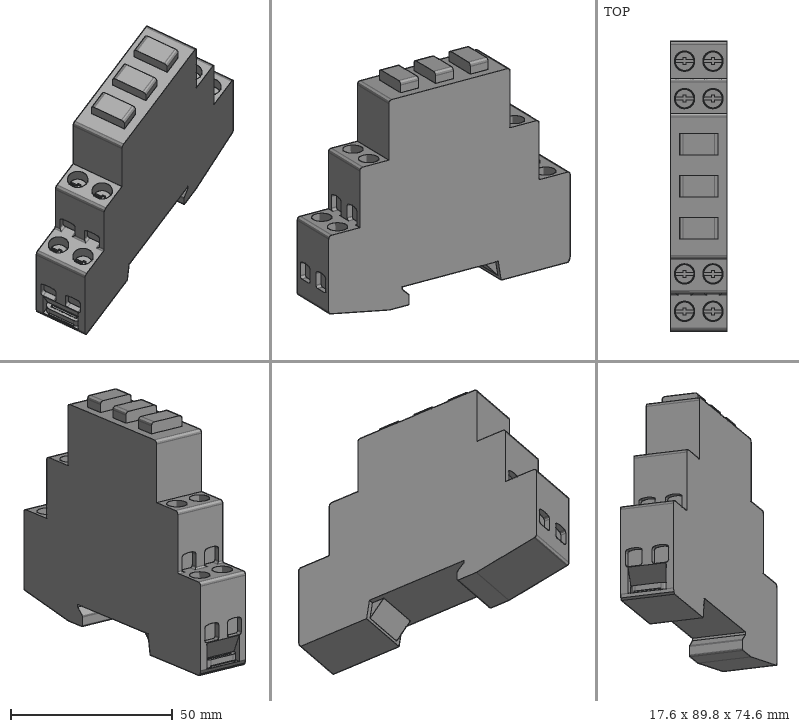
import cadquery as cq

WIDTH = 17.6
BASE_HALF = 44.9
MIDDLE_HALF = 33.3
CROWN_HALF = 22.5
BASE_TOP = 30.5
MIDDLE_TOP = 50.7
CROWN_TOP = 70.9
TIER_FILLET = 1.1
STEP_FILLET = 0.5

SLOPE_START_Y = 22.3
SLOPE_RISE = 4.1
SLOPE_FILLET = 0.9
RAIL_TOP = 6.65
HOOK_ROOT_Y = 17.5
HOOK_TIP_Y = 15.0
HOOK_UPPER_Z = 5.8
HOOK_LOWER_Z = 3.4
HOOK_FILLET = 0.45
RAIL_FRONT_TOP_Y = -18.1
RAIL_FRONT_BOTTOM_Y = -19.2
TOE_HEIGHT = 1.8
TOE_KNEE_Z = 0.67
TOE_KNEE_INSET = 0.3
TOE_INSET = 0.8

NOSE_WIDTH = 14.4
NOSE_TIP_Y = -13.8
NOSE_FOOT_Y = -19.0
NOSE_FOOT_Z = 1.1
NOSE_ROOT_Y = -21.55
NOSE_ROOT_Z = 7.5

BUTTON_LENGTH = 11.9
BUTTON_WIDTH = 6.65
BUTTON_HEIGHT = 3.7
BUTTON_PITCH = 12.9

TERMINAL_HALF_PITCH = 4.4
BASE_SCREW_Y = 38.7
MIDDLE_SCREW_Y = 27.1
WELL_DIAMETER = 6.3
WELL_DEPTH = 4.5
SCREW_DIAMETER = 5.75
SCREW_DEPTH = 3.6
SLOT_WIDTH = 0.9
CROSS_LENGTH = 2.2
CROSS_WIDTH = 1.0
DRIVE_DEPTH = 0.7
OPENING_WIDTH = 5.4
OPENING_DEPTH = 1.9
OPENING_HEIGHT = 5.9
OPENING_SHOULDER = 0.5
OPENING_TOP_FILLET = 0.9
OPENING_BOTTOM_FILLET = 0.8
BASE_OPENING_Z = 10.5

POCKET_WIDTH = 12.6
POCKET_TOP = 10.3
POCKET_DEPTH = 2.7
SLIDER_TOP = 4.3
SLIDER_INSET = 0.6
SLIDER_FILLET = 2.0
LIP_TOP = 2.3
LIP_INSET = 0.1
LIP_WIDTH = 8.8
TOOL_SLOT_WIDTH = 9.0
TOOL_SLOT_LENGTH = 0.9
TOOL_SLOT_DEPTH = 0.45


def side_plate(points, width):
    """Extrude an outline of (Y, Z) points along X, centred on X = 0."""
    return cq.Workplane("YZ").polyline(points).close().extrude(width / 2, both=True)


def block(width, y_range, z_range):
    """Box centred on X = 0, given by its width and its Y and Z limits."""
    y_low, y_high = y_range
    z_low, z_high = z_range
    return (
        cq.Workplane("XY", origin=(0, (y_low + y_high) / 2, z_low))
        .box(width, y_high - y_low, z_high - z_low, centered=(True, True, False))
    )


def fillet_cross_edge(body, y, z, radius):
    """Round the edge running along X at the given Y and Z."""
    return body.edges(cq.NearestToPointSelector((0, y, z))).fillet(radius)


def make_housing():
    outline = [
        (-BASE_HALF, BASE_TOP),
        (-MIDDLE_HALF, BASE_TOP),
        (-MIDDLE_HALF, MIDDLE_TOP),
        (-CROWN_HALF, MIDDLE_TOP),
        (-CROWN_HALF, CROWN_TOP),
        (CROWN_HALF, CROWN_TOP),
        (CROWN_HALF, MIDDLE_TOP),
        (MIDDLE_HALF, MIDDLE_TOP),
        (MIDDLE_HALF, BASE_TOP),
        (BASE_HALF, BASE_TOP),
        (BASE_HALF, SLOPE_RISE),
        (SLOPE_START_Y, 0),
        (HOOK_TIP_Y, 0),
        (HOOK_TIP_Y, HOOK_LOWER_Z),
        (HOOK_ROOT_Y, HOOK_UPPER_Z),
        (HOOK_ROOT_Y, RAIL_TOP),
        (RAIL_FRONT_TOP_Y, RAIL_TOP),
        (RAIL_FRONT_BOTTOM_Y, 0),
        (-BASE_HALF + TOE_INSET, 0),
        (-BASE_HALF + TOE_KNEE_INSET, TOE_KNEE_Z),
        (-BASE_HALF, TOE_HEIGHT),
    ]
    body = side_plate(outline, WIDTH)
    tiers = [(BASE_HALF, BASE_TOP), (MIDDLE_HALF, MIDDLE_TOP), (CROWN_HALF, CROWN_TOP)]
    for half_length, top in tiers:
        for side in (-1, 1):
            body = fillet_cross_edge(body, side * half_length, top, TIER_FILLET)
    body = fillet_cross_edge(body, -MIDDLE_HALF, BASE_TOP, STEP_FILLET)
    body = fillet_cross_edge(body, BASE_HALF, SLOPE_RISE, SLOPE_FILLET)
    for z in (0, HOOK_LOWER_Z):
        body = fillet_cross_edge(body, HOOK_TIP_Y, z, HOOK_FILLET)
    return body


def make_latch_nose():
    outline = [
        (NOSE_TIP_Y, RAIL_TOP),
        (NOSE_FOOT_Y, NOSE_FOOT_Z),
        (NOSE_ROOT_Y, NOSE_FOOT_Z),
        (NOSE_ROOT_Y, NOSE_ROOT_Z),
        (NOSE_TIP_Y, NOSE_ROOT_Z),
    ]
    return side_plate(outline, NOSE_WIDTH)


def make_button(y):
    y_range = (y - BUTTON_WIDTH / 2, y + BUTTON_WIDTH / 2)
    button = block(BUTTON_LENGTH, y_range, (CROWN_TOP, CROWN_TOP + BUTTON_HEIGHT))
    return button.faces(">Z").edges("|Y").fillet(TIER_FILLET)


def make_screw_well(x, y, top):
    """Empty space around and above one slotted screw head."""
    well = (
        cq.Workplane("XY", origin=(x, y, top - WELL_DEPTH))
        .circle(WELL_DIAMETER / 2)
        .extrude(WELL_DEPTH)
    )
    head = (
        cq.Workplane("XY", origin=(x, y, top - WELL_DEPTH))
        .circle(SCREW_DIAMETER / 2)
        .extrude(WELL_DEPTH - SCREW_DEPTH)
    )
    drive = cq.Workplane("XY", origin=(x, y, top - SCREW_DEPTH))
    slot = drive.rect(SCREW_DIAMETER, SLOT_WIDTH).extrude(-DRIVE_DEPTH)
    cross = drive.rect(CROSS_WIDTH, CROSS_LENGTH).extrude(-DRIVE_DEPTH)
    return well.cut(head.cut(slot).cut(cross))


def make_cable_opening(x, bottom, face, side):
    """Domed opening in the end face at Y = side * face, reaching out past the step fillet."""
    half = OPENING_WIDTH / 2
    shoulder = OPENING_HEIGHT - OPENING_SHOULDER
    opening = (
        cq.Workplane("XZ", origin=(x, face + STEP_FILLET, bottom))
        .moveTo(-half, 0)
        .lineTo(half, 0)
        .lineTo(half, shoulder)
        .threePointArc((0, OPENING_HEIGHT), (-half, shoulder))
        .close()
        .extrude(OPENING_DEPTH + STEP_FILLET)
    )
    opening = opening.faces("<Z").edges("|Y").fillet(OPENING_BOTTOM_FILLET)
    for end in (-1, 1):
        corner = (x + end * half, face, bottom + shoulder)
        opening = opening.edges(cq.NearestToPointSelector(corner)).fillet(OPENING_TOP_FILLET)
    return opening if side > 0 else opening.mirror("XZ")


def make_latch_pocket():
    """Pocket with a sloped ceiling, minus the slider end that stands on its floor."""
    back = -BASE_HALF + POCKET_DEPTH
    front = -BASE_HALF + SLIDER_INSET
    outline = [
        (-BASE_HALF, TOE_HEIGHT),
        (back, TOE_HEIGHT),
        (back, SLIDER_TOP),
        (-BASE_HALF, POCKET_TOP),
    ]
    pocket = side_plate(outline, POCKET_WIDTH)
    slider = block(POCKET_WIDTH, (front, back), (TOE_HEIGHT, SLIDER_TOP))
    slider = slider.faces("<Y").edges("|Z").fillet(SLIDER_FILLET)
    lip = block(LIP_WIDTH, (-BASE_HALF + LIP_INSET, back), (TOE_HEIGHT, LIP_TOP))
    slot_floor = SLIDER_TOP - TOOL_SLOT_DEPTH
    tool_slot = block(
        TOOL_SLOT_WIDTH, (back - TOOL_SLOT_LENGTH, back), (slot_floor, SLIDER_TOP)
    )
    return pocket.cut(slider.union(lip).cut(tool_slot))


result = make_housing().union(make_latch_nose())

for row in (-1, 0, 1):
    result = result.union(make_button(row * BUTTON_PITCH))

for side in (-1, 1):
    for x in (-TERMINAL_HALF_PITCH, TERMINAL_HALF_PITCH):
        result = result.cut(make_screw_well(x, side * BASE_SCREW_Y, BASE_TOP))
        result = result.cut(make_screw_well(x, side * MIDDLE_SCREW_Y, MIDDLE_TOP))
        result = result.cut(make_cable_opening(x, BASE_OPENING_Z, BASE_HALF, side))
        result = result.cut(make_cable_opening(x, BASE_TOP, MIDDLE_HALF, side))

result = result.cut(make_latch_pocket())